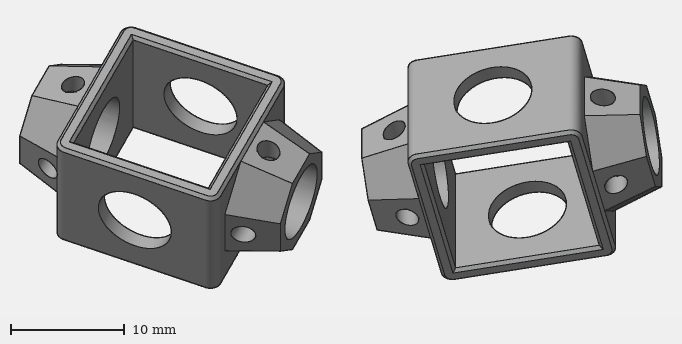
import cadquery as cq
import math

length = 25
frame_side = 15.62
frame_height = 12.5
cavity_side = 12.9
corner_radius = 1
edge_chamfer = 0.3

socket_length = (length - frame_side) / 2
socket_base_flats = frame_height - 2 * edge_chamfer
socket_end_flats = 9

bore_diameter = 7
vertical_screw_diameter = 2
cross_screw_diameter = 2.1
screw_position = 9.38


def rod(diameter, reach, plane, x=0):
    """Cylinder through X = x, centred on the origin along the plane's normal."""
    return cq.Workplane(plane, origin=(x, 0, 0)).circle(diameter / 2).extrude(reach / 2, both=True)


def octagon(flats):
    """Corner points of an octagon with flats facing the Y and Z axes."""
    corner_distance = flats / 2 / math.cos(math.pi / 8)
    angles = [math.pi / 8 + i * math.pi / 4 for i in range(8)]
    return [(corner_distance * math.cos(a), corner_distance * math.sin(a)) for a in angles]


def make_frame():
    """Box with rounded upright corners, a square opening and chamfered rims."""
    outside = cq.Workplane("XY").box(frame_side, frame_side, frame_height)
    outside = outside.edges("|Z").fillet(corner_radius)
    outside = outside.faces("<Z or >Z").edges().chamfer(edge_chamfer)
    cavity = cq.Workplane("XY").rect(cavity_side, cavity_side).extrude(frame_height / 2, both=True)
    frame = outside.cut(cavity)
    rim_edges = cq.selectors.BoxSelector(
        (-frame_side / 2 + corner_radius, -frame_side / 2 + corner_radius, -frame_height),
        (frame_side / 2 - corner_radius, frame_side / 2 - corner_radius, frame_height),
        boundingbox=True,
    )
    return frame.faces("<Z or >Z").edges(rim_edges).chamfer(edge_chamfer)


def make_socket():
    """Octagonal socket on the +X side, narrowing away from the frame."""
    return (
        cq.Workplane("YZ", origin=(frame_side / 2, 0, 0))
        .polyline(octagon(socket_base_flats))
        .close()
        .workplane(offset=socket_length)
        .polyline(octagon(socket_end_flats))
        .close()
        .loft(ruled=True)
    )


socket = make_socket()
body = make_frame().union(socket).union(socket.mirror("YZ"))

body = body.cut(rod(bore_diameter, length, "YZ"))
body = body.cut(rod(bore_diameter, frame_side, "XZ"))

for x in (-screw_position, screw_position):
    body = body.cut(rod(vertical_screw_diameter, frame_height, "XY", x))
    body = body.cut(rod(cross_screw_diameter, frame_side, "XZ", x))

result = body